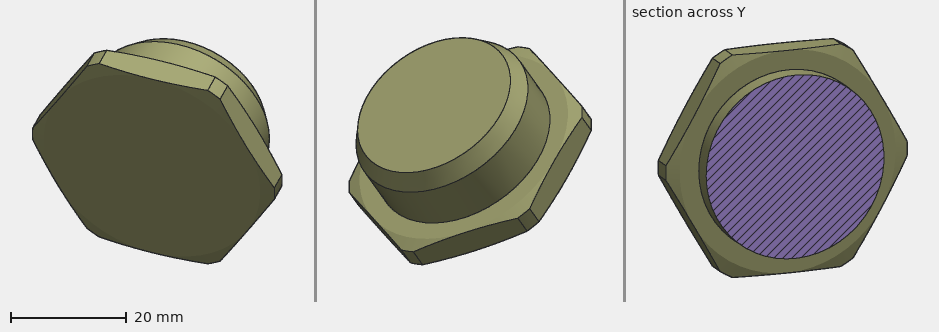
import cadquery as cq
import math

corner_diameter = 44.75
across_flats = 40.0
head_thickness = 5.0
head_chamfer_angle = 15.0
total_length = 17.0
shank_diameter = 33.0
tip_chamfer_length = 3.18
tip_chamfer_angle = 30.0

corner_radius = corner_diameter / 2
flat_radius = across_flats / 2
shank_radius = shank_diameter / 2
head_chamfer_depth = (corner_radius - flat_radius) * math.tan(math.radians(head_chamfer_angle))
tip_radius = shank_radius - tip_chamfer_length * math.tan(math.radians(tip_chamfer_angle))


def revolve_about_y(profile):
    """Turn a closed (radius, y) profile about the Y axis."""
    return cq.Workplane("XY").polyline(profile).close().revolve(360, (0, 0, 0), (0, 1, 0))


def make_head():
    """Hexagon with flats facing +Z and -Z, chamfered at both faces by a turned envelope."""
    full_corner_diameter = across_flats / math.cos(math.radians(30))
    hexagon = (
        cq.Workplane("XZ")
        .polygon(6, full_corner_diameter)
        .extrude(-head_thickness)
    )
    envelope = revolve_about_y([
        (0, 0),
        (flat_radius, 0),
        (corner_radius, head_chamfer_depth),
        (corner_radius, head_thickness - head_chamfer_depth),
        (flat_radius, head_thickness),
        (0, head_thickness),
    ])
    return hexagon.intersect(envelope)


def make_shank():
    """Solid round shank with a tapered tip, starting at the back of the head."""
    return revolve_about_y([
        (0, head_thickness),
        (shank_radius, head_thickness),
        (shank_radius, total_length - tip_chamfer_length),
        (tip_radius, total_length),
        (0, total_length),
    ])


result = make_head().union(make_shank())